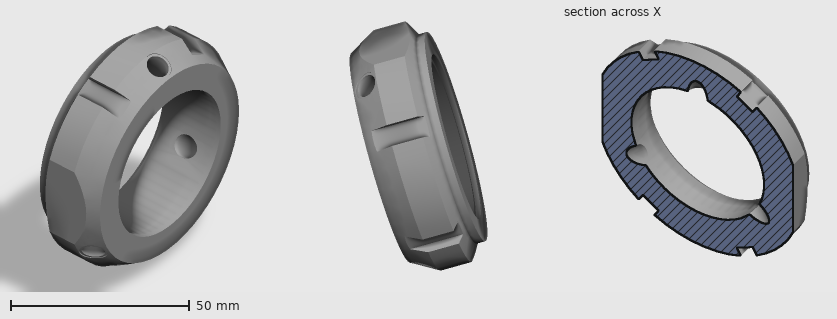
import cadquery as cq
import math

width = 22.0
outer_radius = 35.0
collar_radius = 61.0 / 2
collar_length = 2.5
rim_start = 5.25
rim_end = 14.3
bore_radius = 45.0 / 2
bore_mouth_radius = 48.0 / 2
bore_mouth_depth = 1.5
across_flats = 65.0

slot_width = 6.1
slot_floor_radius = 32.05
slot_angles = (30, 150, 210, 330)

screw_hole_diameter = 6.65
screw_mouth_diameter = 8.1
screw_mouth_depth = 0.35
screw_hole_x = 17.85
screw_hole_angles = (0, 120, 240)
cone_angle = 30
cone_slope = math.tan(math.radians(cone_angle))
rear_radius = outer_radius - (width - rim_end) * cone_slope


def make_ring():
    """Revolve the section of the ring, including the stepped bore mouth."""
    section = [
        (bore_mouth_depth, bore_mouth_radius),
        (0, bore_mouth_radius),
        (0, collar_radius),
        (collar_length, collar_radius),
        (rim_start, outer_radius),
        (rim_end, outer_radius),
        (width, rear_radius),
        (width, bore_radius),
        (bore_mouth_depth, bore_radius),
    ]
    return cq.Workplane("XY").polyline(section).close().revolve(360, (0, 0, 0), (1, 0, 0))


def cut_flats(body):
    """Trim the ring to two parallel flats facing -Y and +Y."""
    envelope = cq.Workplane("XY").box(2 * width, across_flats, 2 * outer_radius)
    return body.intersect(envelope)


def make_slot(angle):
    """Flat-floored spanner slot, open at the rim and at both cones, clear of the collar."""
    slot = cq.Workplane("XY").box(width, slot_width, outer_radius, centered=(False, True, False))
    lift = cq.Vector(0, 0, slot_floor_radius)
    return slot.translate(lift).rotate((0, 0, 0), (1, 0, 0), angle)


def make_screw_hole(angle):
    """Shallowly counterbored hole square to the rear cone, reaching into the bore."""
    mouth_z = outer_radius - (screw_hole_x - rim_end) * cone_slope
    mouth = cq.Vector(screw_hole_x, 0, mouth_z)
    tilt = math.radians(cone_angle)
    inward = cq.Vector(-math.sin(tilt), 0, -math.cos(tilt))
    length = outer_radius / 2
    clearance = 2.1
    hole_radius = screw_hole_diameter / 2
    mouth_radius = screw_mouth_diameter / 2
    hole = cq.Solid.makeCylinder(hole_radius, length, mouth, inward)
    mouth_top = mouth - inward * clearance
    counterbore = cq.Solid.makeCylinder(mouth_radius, clearance + screw_mouth_depth, mouth_top, inward)
    cutter = hole.fuse(counterbore)
    return cq.Workplane(cutter).rotate((0, 0, 0), (1, 0, 0), angle)


result = cut_flats(make_ring())
for slot_angle in slot_angles:
    result = result.cut(make_slot(slot_angle))
for hole_angle in screw_hole_angles:
    result = result.cut(make_screw_hole(hole_angle))